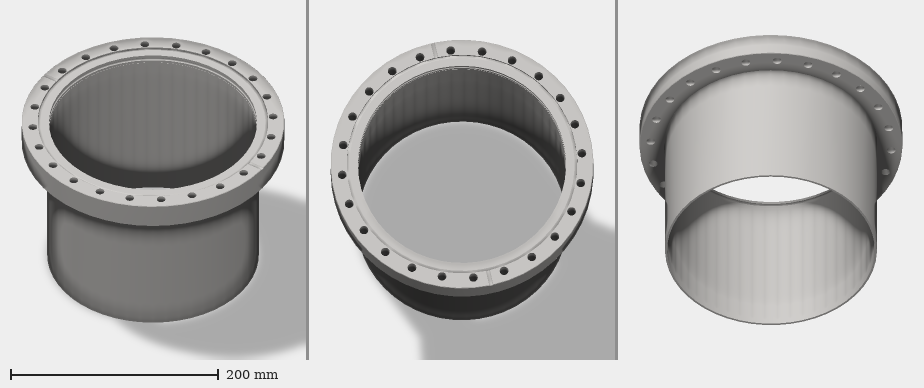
import cadquery as cq
import math

TOTAL_HEIGHT = 167.0

TUBE_OUTER_R = 204.0 / 2
TUBE_INNER_R = 200.0 / 2
TUBE_TOP_DEPTH = 9.8

BOLT_RING_R = 253.0 / 2
BOLT_RING_THICKNESS = 25.0
RIM_CHAMFER = 0.5
TUBE_CLEARANCE = 1.0

BOLT_COUNT = 24
BOLT_PITCH = 360.0 / BOLT_COUNT
BOLT_CIRCLE_R = 231.8 / 2
BOLT_HOLE_DIAMETER = 8.4

LEAK_GROOVE_WIDTH = 4.0
LEAK_GROOVE_DEPTH = 1.0

SEAL_RING_R = 222.1 / 2
SEAL_FACE_DEPTH = 1.1
SEAL_RING_BOTTOM_DEPTH = 14.0
KNIFE_EDGE_R = 108.3
KNIFE_SLOPE_DEG = 20.0
SEAL_BORE_R = 200.4 / 2
BORE_GROOVE_R = 1.5
BORE_GROOVE_DEPTH = 5.5


def make_tube():
    """Plain round tube, its upper end inside the sealing ring socket."""
    length = TOTAL_HEIGHT - TUBE_TOP_DEPTH
    return (
        cq.Workplane("XY", origin=(0, 0, -TOTAL_HEIGHT))
        .circle(TUBE_OUTER_R)
        .circle(TUBE_INNER_R)
        .extrude(length)
    )


def make_seal_ring():
    """Collar with a knife edge on top, a round bore groove and a tube socket below."""
    knife_drop = (SEAL_RING_R - KNIFE_EDGE_R) * math.tan(math.radians(KNIFE_SLOPE_DEG))
    section = (
        cq.Workplane("XZ")
        .moveTo(SEAL_BORE_R, -SEAL_FACE_DEPTH)
        .lineTo(KNIFE_EDGE_R, -SEAL_FACE_DEPTH)
        .lineTo(SEAL_RING_R, -SEAL_FACE_DEPTH - knife_drop)
        .lineTo(SEAL_RING_R, -SEAL_RING_BOTTOM_DEPTH)
        .lineTo(TUBE_OUTER_R, -SEAL_RING_BOTTOM_DEPTH)
        .lineTo(TUBE_OUTER_R, -TUBE_TOP_DEPTH)
        .lineTo(SEAL_BORE_R, -TUBE_TOP_DEPTH)
        .lineTo(SEAL_BORE_R, -BORE_GROOVE_DEPTH - BORE_GROOVE_R)
        .threePointArc(
            (SEAL_BORE_R + BORE_GROOVE_R, -BORE_GROOVE_DEPTH),
            (SEAL_BORE_R, -BORE_GROOVE_DEPTH + BORE_GROOVE_R),
        )
        .close()
    )
    return section.revolve(360, (0, 0, 0), (0, 1, 0))


def make_leak_grooves():
    """Cutter for the two shallow round-bottomed grooves along X."""
    half_width = LEAK_GROOVE_WIDTH / 2
    radius = (half_width**2 + LEAK_GROOVE_DEPTH**2) / (2 * LEAK_GROOVE_DEPTH)
    return (
        cq.Workplane("YZ", origin=(0, 0, radius - LEAK_GROOVE_DEPTH))
        .circle(radius)
        .extrude(BOLT_RING_R, both=True)
    )


def make_bolt_ring():
    """Outer ring with a recess for the sealing ring, bolt holes and leak-check grooves."""
    seat_height = BOLT_RING_THICKNESS - SEAL_RING_BOTTOM_DEPTH
    blank = (
        cq.Workplane("XY", origin=(0, 0, -BOLT_RING_THICKNESS))
        .circle(BOLT_RING_R)
        .extrude(BOLT_RING_THICKNESS)
        .edges()
        .chamfer(RIM_CHAMFER)
    )
    recess = (
        cq.Workplane("XY")
        .circle(SEAL_RING_R)
        .extrude(-SEAL_RING_BOTTOM_DEPTH)
    )
    tube_passage = (
        cq.Workplane("XY", origin=(0, 0, -BOLT_RING_THICKNESS))
        .circle(TUBE_OUTER_R + TUBE_CLEARANCE)
        .extrude(seat_height)
    )
    bolt_holes = (
        cq.Workplane("XY")
        .polarArray(BOLT_CIRCLE_R, BOLT_PITCH / 2, 360, BOLT_COUNT)
        .circle(BOLT_HOLE_DIAMETER / 2)
        .extrude(-BOLT_RING_THICKNESS)
    )
    return blank.cut(recess).cut(tube_passage).cut(bolt_holes).cut(make_leak_grooves())


tube = make_tube()
seal_ring = make_seal_ring()
bolt_ring = make_bolt_ring()

result = cq.Compound.makeCompound([tube.val(), seal_ring.val(), bolt_ring.val()])